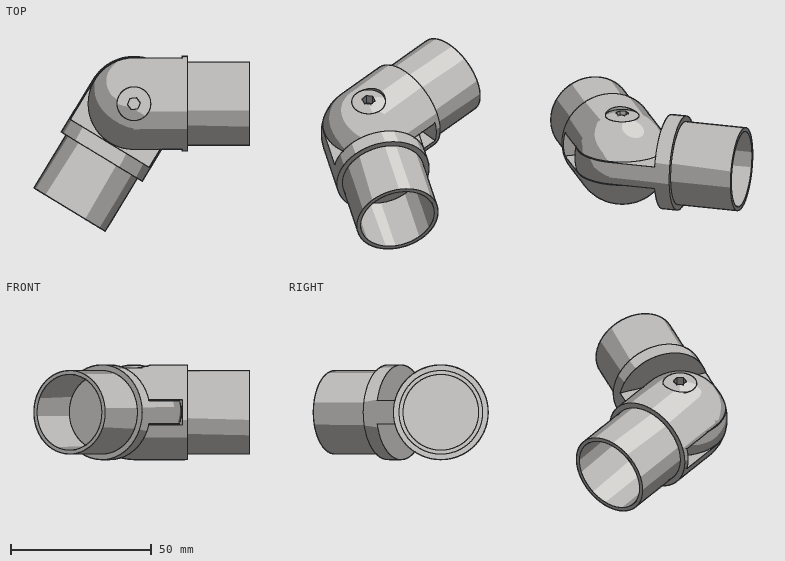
import cadquery as cq
import math

joint_radius = 16.85
insert_radius = 14.85
bore_radius = 13.45
insert_length = 22.0

fork_shoulder = 19.1
slot_floor = 17.15
slot_width = 8.9

tongue_swing = 58.7
tongue_shoulder = 22.0
collar_start = 16.5
tongue_thickness = 8.2

head_radius = 6.0
head_seat = 11.0
shank_radius = 3.0
shank_bottom = -head_seat
socket_flats = 4.0
socket_floor = 13.0
socket_turn = 6.0

envelope = 4 * joint_radius


def cylinder_x(radius, start, end):
    """Cylinder on the X axis between two X positions."""
    return cq.Workplane("YZ", origin=(start, 0, 0)).circle(radius).extrude(end - start)


def cylinder_z(radius, bottom, top):
    """Cylinder on the Z axis between two heights."""
    return cq.Workplane("XY", origin=(0, 0, bottom)).circle(radius).extrude(top - bottom)


def rounded_connector(shoulder):
    """Round-nosed barrel on +X carrying a hollow tube insert past its shoulder."""
    nose = cq.Workplane("XY").sphere(joint_radius)
    barrel = cylinder_x(joint_radius, 0, shoulder)
    insert = cylinder_x(insert_radius, shoulder, shoulder + insert_length)
    bore = cylinder_x(bore_radius, shoulder, shoulder + insert_length)
    return nose.union(barrel).union(insert.cut(bore))


def slab(end, thickness):
    """Flat block centred on Z = 0, reaching from beyond the nose to X = end."""
    block = cq.Workplane("XY").box(envelope, envelope, thickness)
    return block.translate((end - envelope / 2, 0, 0))


def make_fork():
    body = rounded_connector(fork_shoulder)
    body = body.cut(slab(slot_floor, slot_width))
    shank_hole = cylinder_z(shank_radius, shank_bottom, joint_radius)
    head_hole = cylinder_z(head_radius, head_seat, joint_radius)
    return body.cut(shank_hole).cut(head_hole)


def make_tongue():
    body = rounded_connector(tongue_shoulder)
    waste = slab(collar_start, envelope).cut(slab(collar_start, tongue_thickness))
    body = body.cut(waste)
    body = body.cut(cylinder_z(shank_radius, -joint_radius, joint_radius))
    return body.rotate((0, 0, 0), (0, 0, 1), 180 + tongue_swing)


def make_screw():
    shank = cylinder_z(shank_radius, shank_bottom, head_seat)
    head = cylinder_z(head_radius, head_seat, joint_radius)
    dome = cq.Workplane("XY").sphere(joint_radius)
    socket_corners = socket_flats / math.cos(math.radians(30))
    socket = (
        cq.Workplane("XY", origin=(0, 0, socket_floor))
        .polygon(6, socket_corners)
        .extrude(joint_radius - socket_floor)
        .rotate((0, 0, 0), (0, 0, 1), socket_turn)
    )
    return shank.union(head).intersect(dome).cut(socket)


fork = make_fork()
tongue = make_tongue()
screw = make_screw()

result = cq.Compound.makeCompound([fork.val(), tongue.val(), screw.val()])